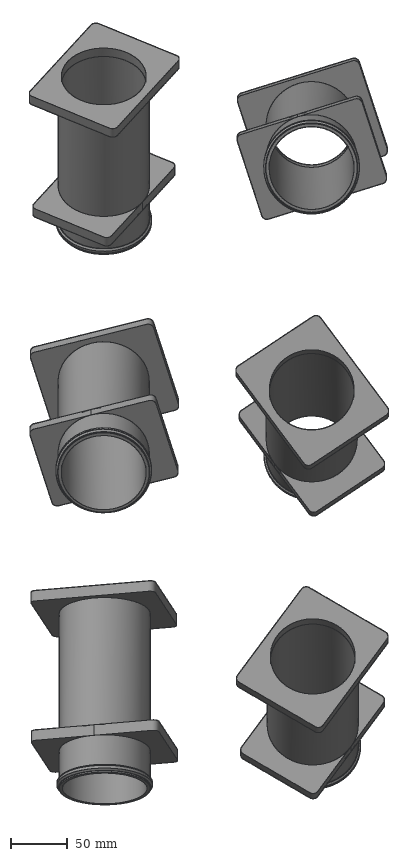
import cadquery as cq

total_height = 174.0

tube_diameter = 80.0
bore_diameter = 74.5

plate_thickness = 10.0
corner_radius = 5.0

flange_width = 90.0
flange_back = 56.9
flange_front = 55.3

lower_plate_back = 57.8
lower_plate_front = 57.2
lower_plate_bottom = 35.0

ring_diameter = 84.0
ring_bottom = 1.4
ring_height = 5.7
ring_chamfer = 1.5

tube_height = total_height - plate_thickness


def make_tube():
    """Plain tube that ends against the underside of the flange."""
    return cq.Workplane("XY").circle(tube_diameter / 2).circle(bore_diameter / 2).extrude(tube_height)


def make_flange():
    """Rounded rectangular plate on top of the tube, with the same bore."""
    flange_length = flange_back + flange_front
    flange_center_y = (flange_back - flange_front) / 2
    plate = (
        cq.Workplane("XY", origin=(0, flange_center_y, tube_height))
        .rect(flange_width, flange_length)
        .extrude(plate_thickness)
        .edges("|Z")
        .fillet(corner_radius)
    )
    bore = (
        cq.Workplane("XY", origin=(0, 0, tube_height))
        .circle(bore_diameter / 2)
        .extrude(plate_thickness)
    )
    return plate.cut(bore)


def make_half_plate(side, reach):
    """Half of the lower plate, on the +Y (side = 1) or -Y (side = -1) side of the tube.

    It reaches the given distance from the tube axis.
    """
    tube_radius = tube_diameter / 2
    corner_x = tube_radius - corner_radius
    end_y = side * reach
    corner_y = end_y - side * corner_radius
    return (
        cq.Workplane("XY", origin=(0, 0, lower_plate_bottom))
        .moveTo(-tube_radius, 0)
        .lineTo(-tube_radius, corner_y)
        .radiusArc((-corner_x, end_y), side * corner_radius)
        .lineTo(corner_x, end_y)
        .radiusArc((tube_radius, corner_y), side * corner_radius)
        .lineTo(tube_radius, 0)
        .threePointArc((0, side * tube_radius), (-tube_radius, 0))
        .close()
        .extrude(plate_thickness)
    )


def make_ring():
    """Ring around the bottom of the tube, chamfered on both outer edges."""
    return (
        cq.Workplane("XY", origin=(0, 0, ring_bottom))
        .circle(ring_diameter / 2)
        .extrude(ring_height)
        .edges()
        .chamfer(ring_chamfer)
        .cut(cq.Workplane("XY").circle(tube_diameter / 2).extrude(tube_height))
    )


tube = make_tube()
flange = make_flange()
half_plates = [
    make_half_plate(side, reach)
    for side, reach in ((1, lower_plate_back), (-1, lower_plate_front))
]
ring = make_ring()

result = cq.Compound.makeCompound(
    [tube.val(), flange.val(), *[half.val() for half in half_plates], ring.val()]
)